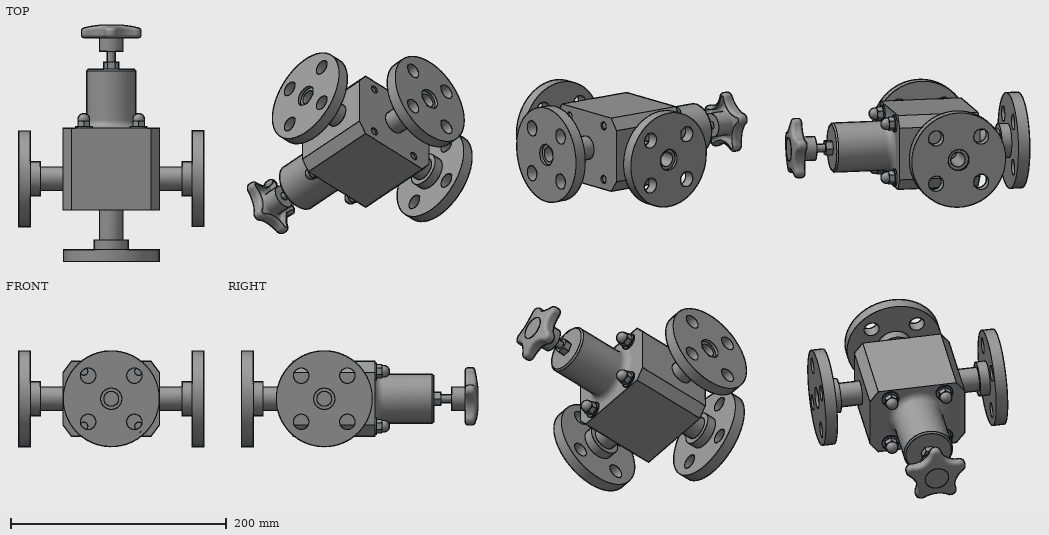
import cadquery as cq
import math


BLOCK_WIDTH = 89.4
BLOCK_HEIGHT = 69.7
BLOCK_FRONT_Y = -29.1
BLOCK_BACK_Y = 46.9
BLOCK_CHAMFER_X = 7.9
BLOCK_CHAMFER_Z = 10.5

FLANGE_DIAMETER = 89.0
FLANGE_THICKNESS = 11.0
FLANGE_HOLE_DIAMETER = 14.2
FLANGE_HOLE_SPACING = 42.7
COLLAR_DIAMETER = 31.8
COLLAR_LENGTH = 9.2
PIPE_DIAMETER = 22.1
BORE_DIAMETER = 13.8
COUNTERBORE_DIAMETER = 19.7
COUNTERBORE_DEPTH = 3.0
SIDE_PORT_SPAN = 171.5
FRONT_PORT_REACH = 76.7

BOLT_SPACING = 50.8
BOLT_HOLE_DIAMETER = 7.5
BOLT_HOLE_DEPTH = 1.8
WASHER_DIAMETER = 15.8
WASHER_THICKNESS = 1.3
CAP_DIAMETER = 11.0
CAP_HEX_HEIGHT = 5.5
CAP_NECK_HEIGHT = 1.3

BONNET_DIAMETER = 45.8
BONNET_TOP_Y = 101.5
BONNET_CHAMFER = 1.5
BONNET_FOOT_RADIUS = 7.0
GLAND_NUT_CORNERS = 14.2
GLAND_NUT_TOP_Y = 108.0
STEM_DIAMETER = 7.5

WHEEL_HUB_DIAMETER = 22.1
WHEEL_HUB_BOTTOM_Y = 117.9
WHEEL_BOTTOM_Y = 130.3
WHEEL_TOP_Y = 142.5
WHEEL_DOME_RADIUS = 111.7
WHEEL_CAP_STEP = 0.2
WHEEL_EDGE_RADIUS = 3.0
WHEEL_RIM_WIDTH = 3.0
WHEEL_RECESS_FLOOR_Y = 136.3
WHEEL_RECESS_RADIUS = 1.8
WHEEL_HUB_FOOT_RADIUS = 3.3
LOBE_COUNT = 5
LOBE_RADIUS = 5.3
LOBE_CENTRE_RADIUS = 23.7
VALLEY_RADIUS = 16.6


def along_y(start_y):
    """Workplane at the given Y with local x along +X and local y along +Z; its normal is -Y."""
    return cq.Workplane(cq.Plane(origin=(0, start_y, 0), xDir=(1, 0, 0), normal=(0, -1, 0)))


def rod(diameter, start_y, end_y):
    """Cylinder on the Y axis."""
    return along_y(start_y).circle(diameter / 2).extrude(start_y - end_y)


def square_points(start_y, spacing):
    """Four points at the corners of a square centred on the Y axis."""
    return along_y(start_y).rect(spacing, spacing, forConstruction=True).vertices()


def flared_foot(diameter, seat_y, flare_radius, direction):
    """Post stub flaring in a concave quarter round onto its seat; direction is +1 or -1 along Y."""
    radius = diameter / 2
    end_y = seat_y + direction * flare_radius
    sag = flare_radius * (1 - math.sqrt(0.5))
    profile = (
        cq.Workplane("XY")
        .moveTo(0, seat_y)
        .lineTo(radius + flare_radius, seat_y)
        .threePointArc((radius + sag, seat_y + direction * sag), (radius, end_y))
        .lineTo(0, end_y)
        .close()
    )
    return profile.revolve(360, (0, 0, 0), (0, 1, 0))


def make_block():
    """Block with four chamfered edges along Y and a shallow bolt recess near each front corner."""
    side = BLOCK_WIDTH / 2
    top = BLOCK_HEIGHT / 2
    flat_x = side - BLOCK_CHAMFER_X
    flat_z = top - BLOCK_CHAMFER_Z
    upper = [(side, flat_z), (flat_x, top), (-flat_x, top), (-side, flat_z)]
    lower = [(-x, -z) for x, z in upper]
    block = along_y(BLOCK_FRONT_Y).polyline(upper + lower).close().extrude(BLOCK_FRONT_Y - BLOCK_BACK_Y)
    bolt_holes = square_points(BLOCK_FRONT_Y, BOLT_SPACING).circle(BOLT_HOLE_DIAMETER / 2)
    return block.cut(bolt_holes.extrude(-BOLT_HOLE_DEPTH))


def make_port(reach, block_face):
    """Flanged pipe stub along -Y; reach and block_face are the distances of its ends from the origin."""
    flange_back = -reach + FLANGE_THICKNESS
    collar_back = flange_back + COLLAR_LENGTH
    port = rod(FLANGE_DIAMETER, -reach, flange_back)
    port = port.union(rod(COLLAR_DIAMETER, flange_back, collar_back))
    port = port.union(rod(PIPE_DIAMETER, collar_back, -block_face))
    flange_holes = square_points(-reach, FLANGE_HOLE_SPACING).circle(FLANGE_HOLE_DIAMETER / 2)
    port = port.cut(flange_holes.extrude(-FLANGE_THICKNESS))
    port = port.cut(rod(BORE_DIAMETER, -reach, -block_face))
    return port.cut(rod(COUNTERBORE_DIAMETER, -reach, -reach + COUNTERBORE_DEPTH))


def make_cap_nut():
    """Washer and domed hexagon nut seated on the back of the block."""
    washer_top = BLOCK_BACK_Y + WASHER_THICKNESS
    hex_top = washer_top + CAP_HEX_HEIGHT
    neck_top = hex_top + CAP_NECK_HEIGHT
    washer = rod(WASHER_DIAMETER, BLOCK_BACK_Y, washer_top)
    corner_diameter = CAP_DIAMETER / math.cos(math.pi / 6)
    chamfered = rod(corner_diameter, washer_top, hex_top)
    chamfered = chamfered.faces(">Y").chamfer((corner_diameter - CAP_DIAMETER) / 2)
    hexagon = along_y(washer_top).polygon(6, CAP_DIAMETER, circumscribed=True).extrude(-CAP_HEX_HEIGHT)
    hexagon = hexagon.intersect(chamfered)
    neck = rod(CAP_DIAMETER, hex_top, neck_top)
    dome = cq.Workplane("XY").sphere(CAP_DIAMETER / 2).translate((0, neck_top, 0))
    return washer.union(hexagon).union(neck).union(dome)


def make_bonnet():
    barrel = rod(BONNET_DIAMETER, BLOCK_BACK_Y, BONNET_TOP_Y).faces(">Y").chamfer(BONNET_CHAMFER)
    return barrel.union(flared_foot(BONNET_DIAMETER, BLOCK_BACK_Y, BONNET_FOOT_RADIUS, 1))


def make_stem():
    nut = along_y(BONNET_TOP_Y).polygon(6, GLAND_NUT_CORNERS).extrude(BONNET_TOP_Y - GLAND_NUT_TOP_Y)
    return nut.union(rod(STEM_DIAMETER, GLAND_NUT_TOP_Y, WHEEL_HUB_BOTTOM_Y))


def polar(radius, angle):
    return (radius * math.cos(angle), radius * math.sin(angle))


def star_outline():
    """Round lobes joined by tangent hollows, with one lobe pointing along +Z."""
    half_step = math.pi / LOBE_COUNT
    centre_gap = LOBE_RADIUS + VALLEY_RADIUS
    lobe_half_gap = LOBE_CENTRE_RADIUS * math.sin(half_step)
    valley_centre = LOBE_CENTRE_RADIUS * math.cos(half_step) + math.sqrt(centre_gap**2 - lobe_half_gap**2)
    lobe_share = LOBE_RADIUS / centre_gap

    def tangent_point(lobe_angle, valley_angle):
        lobe = polar(LOBE_CENTRE_RADIUS, lobe_angle)
        valley = polar(valley_centre, valley_angle)
        return tuple(a + lobe_share * (b - a) for a, b in zip(lobe, valley))

    first_lobe = math.pi / 2
    outline = along_y(WHEEL_BOTTOM_Y).moveTo(*tangent_point(first_lobe, first_lobe - half_step))
    for index in range(LOBE_COUNT):
        lobe = first_lobe + 2 * index * half_step
        valley = lobe + half_step
        lobe_tip = polar(LOBE_CENTRE_RADIUS + LOBE_RADIUS, lobe)
        valley_floor = polar(valley_centre - VALLEY_RADIUS, valley)
        outline = outline.threePointArc(lobe_tip, tangent_point(lobe, valley))
        outline = outline.threePointArc(valley_floor, tangent_point(valley + half_step, valley))
    return outline.close()


def make_wheel():
    """Star handwheel with a domed top, a recessed underside and a flat-topped hub through its middle."""
    dome_edge_y = WHEEL_TOP_Y - WHEEL_CAP_STEP
    dome_centre_y = dome_edge_y - math.sqrt(WHEEL_DOME_RADIUS**2 - (WHEEL_HUB_DIAMETER / 2) ** 2)
    dome_peak_y = dome_centre_y + WHEEL_DOME_RADIUS
    dome = cq.Workplane("XY").sphere(WHEEL_DOME_RADIUS).translate((0, dome_centre_y, 0))
    star = star_outline().extrude(WHEEL_BOTTOM_Y - dome_peak_y - WHEEL_CAP_STEP).intersect(dome)
    star = star.edges("not |Y").fillet(WHEEL_EDGE_RADIUS)
    star = star.cut(rod(WHEEL_HUB_DIAMETER, WHEEL_TOP_Y, dome_peak_y + WHEEL_CAP_STEP))

    recess = star_outline().offset2D(-WHEEL_RIM_WIDTH).extrude(WHEEL_BOTTOM_Y - WHEEL_RECESS_FLOOR_Y)
    recess = recess.faces(">Y").edges().fillet(WHEEL_RECESS_RADIUS)
    hub = rod(WHEEL_HUB_DIAMETER, WHEEL_HUB_BOTTOM_Y, WHEEL_TOP_Y)
    hub_foot = flared_foot(WHEEL_HUB_DIAMETER, WHEEL_RECESS_FLOOR_Y, WHEEL_HUB_FOOT_RADIUS, -1)
    return star.cut(recess).union(hub).union(hub_foot)


result = make_block().union(make_port(FRONT_PORT_REACH, -BLOCK_FRONT_Y))
side_port = make_port(SIDE_PORT_SPAN / 2, BLOCK_WIDTH / 2)
for angle in (90, -90):
    result = result.union(side_port.rotate((0, 0, 0), (0, 0, 1), angle))

result = result.union(make_bonnet()).union(make_stem()).union(make_wheel())

cap_nut = make_cap_nut()
for x in (-BOLT_SPACING / 2, BOLT_SPACING / 2):
    for z in (-BOLT_SPACING / 2, BOLT_SPACING / 2):
        result = result.union(cap_nut.translate((x, 0, z)))